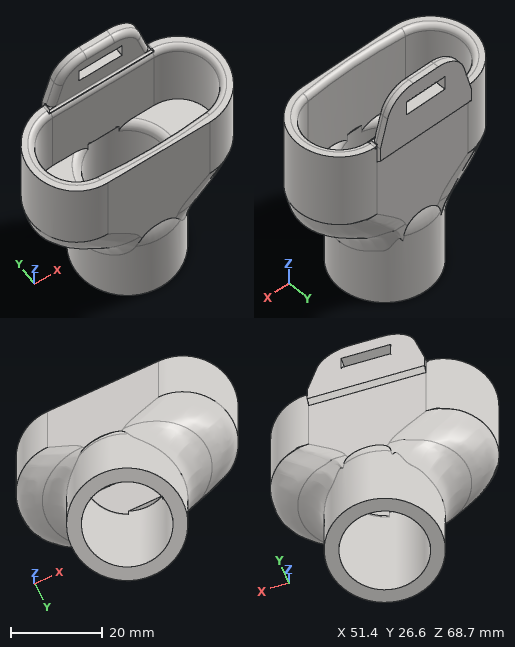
import cadquery as cq
import math

total_height = 68.65
rim_z = 54.8

cup_length = 51.4
cup_half_length = cup_length / 2
cup_end_radius = 12.15
cup_straight = cup_half_length - cup_end_radius
wall = 3.0
rim_fillet = 1.5
floor_z = 33.3
front_wall_bow = 0.7

tube_diameter = 26.6
tube_radius = tube_diameter / 2
bore_radius = 10.0
bore_flare = 2.05
tube_top_z = 25.0
shoulder_drop = 4.5

blend_radius = 10.0
waist_straight = 5.1
tube_end_straight = 1.7
sections_per_arc = 4
end_curve_steps = 12

tab_half_width = 13.5
tab_thickness = 3.0
tab_edge_fillet = 1.5
tab_corner_radius = 7.95
tab_slope = math.radians(15)
tab_foot_z = 50.95
tab_cove_radius = 0.5
tab_root_depth = 0.55
slot_width = 11.4
slot_height = 4.0
slot_center_z = 62.1


def half_blend_section(half_length, straight, z):
    """Wire at height z around the +X half: straight sides and a half-elliptical end of full cup depth."""
    reach = half_length - straight
    angles = [math.pi * (i / end_curve_steps - 0.5) for i in range(end_curve_steps + 1)]
    end_points = [
        cq.Vector(straight + reach * math.cos(a), cup_end_radius * math.sin(a), z) for a in angles
    ]
    along_side = cq.Vector(1, 0, 0)
    front_middle = cq.Vector(0, -cup_end_radius, z)
    back_middle = cq.Vector(0, cup_end_radius, z)
    edges = [
        cq.Edge.makeLine(front_middle, end_points[0]),
        cq.Edge.makeSpline(end_points, tangents=[along_side, -along_side]),
        cq.Edge.makeLine(end_points[-1], back_middle),
        cq.Edge.makeLine(back_middle, front_middle),
    ]
    return cq.Wire.assembleEdges(edges)


def make_blend():
    """Two tangent arcs of equal radius shorten the cup outline down to the tube diameter."""
    upper_center_x = cup_half_length - blend_radius
    lower_center_x = tube_radius + blend_radius
    sweep = math.acos((lower_center_x - upper_center_x) / (2 * blend_radius))
    lower_center_z = floor_z - 2 * blend_radius * math.sin(sweep)
    upper = []
    lower = []
    for i in range(sections_per_arc):
        share = i / (sections_per_arc - 1)
        across = blend_radius * math.cos(sweep * share)
        along = blend_radius * math.sin(sweep * share)
        upper_straight = cup_straight - (cup_straight - waist_straight) * math.sin(math.pi / 2 * share)
        lower_straight = tube_end_straight + (waist_straight - tube_end_straight) * share
        upper.append(half_blend_section(upper_center_x + across, upper_straight, floor_z - along))
        lower.append(half_blend_section(lower_center_x - across, lower_straight, lower_center_z + along))
    upper_solid = cq.Workplane(obj=cq.Solid.makeLoft(upper))
    lower_solid = cq.Workplane(obj=cq.Solid.makeLoft(lower))
    half = upper_solid.union(lower_solid)
    return half.union(half.mirror("YZ"))


def make_tube():
    """Solid tube whose top rounds in until it meets the flat sides of the cup."""
    inset = tube_radius - cup_end_radius
    shoulder_radius = (inset**2 + shoulder_drop**2) / (2 * inset)
    half_angle = math.asin(shoulder_drop / shoulder_radius) / 2
    shoulder_z = tube_top_z - shoulder_drop
    arc_center_x = tube_radius - shoulder_radius
    arc_middle = (
        arc_center_x + shoulder_radius * math.cos(half_angle),
        shoulder_z + shoulder_radius * math.sin(half_angle),
    )
    return (
        cq.Workplane("XZ")
        .lineTo(tube_radius, 0)
        .lineTo(tube_radius, shoulder_z)
        .threePointArc(arc_middle, (cup_end_radius, tube_top_z))
        .lineTo(0, tube_top_z)
        .close()
        .revolve(360, (0, 0), (0, 1))
    )


def make_cavity():
    """Oblong pocket with a flat floor; its -Y wall is an arc bowed outward, tangent to both ends."""
    end_radius = cup_end_radius - wall
    half_length = cup_half_length - wall
    bow_center_y = (cup_straight**2 - front_wall_bow**2) / (2 * front_wall_bow)
    bow_radius = bow_center_y + end_radius + front_wall_bow
    stretch = bow_radius / (bow_radius - end_radius)
    tangent_x = cup_straight * stretch
    tangent_y = bow_center_y * (1 - stretch)
    return (
        cq.Workplane("XY", origin=(0, 0, floor_z))
        .moveTo(-tangent_x, tangent_y)
        .threePointArc((0, -end_radius - front_wall_bow), (tangent_x, tangent_y))
        .threePointArc((half_length, 0), (cup_straight, end_radius))
        .lineTo(-cup_straight, end_radius)
        .threePointArc((-half_length, 0), (-tangent_x, tangent_y))
        .close()
        .extrude(rim_z - floor_z)
    )


def make_bore(cavity):
    """Through bore with a rounded entry at the floor that stays inside the cavity outline."""
    bore = cq.Workplane("XY").circle(bore_radius).extrude(floor_z)
    mouth_radius = bore_radius + bore_flare
    arc_offset = bore_flare * math.sqrt(0.5)
    flare_start_z = floor_z - bore_flare
    arc_middle = (mouth_radius - arc_offset, flare_start_z + arc_offset)
    flare = (
        cq.Workplane("XZ")
        .moveTo(0, flare_start_z)
        .lineTo(bore_radius, flare_start_z)
        .threePointArc(arc_middle, (mouth_radius, floor_z))
        .lineTo(0, floor_z)
        .close()
        .revolve(360, (0, 0), (0, 1))
    )
    return bore.union(flare.intersect(cavity.translate((0, 0, -bore_flare))))


def make_tab():
    """Rounded trapezoid plate flush with the tube's +Y side, chamfered into the cup below."""
    back_y = tube_radius
    overhang = back_y - cup_end_radius
    top_half_width = tab_half_width - (total_height - rim_z) * math.tan(tab_slope)
    plate = (
        cq.Workplane("XZ", origin=(0, back_y, 0))
        .moveTo(-tab_half_width, rim_z)
        .lineTo(tab_half_width, rim_z)
        .lineTo(top_half_width, total_height)
        .lineTo(-top_half_width, total_height)
        .close()
        .extrude(tab_thickness)
    )
    plate = plate.edges("|Y and >Z").fillet(tab_corner_radius)
    plate = plate.faces("<Y").edges("not <Z").fillet(tab_edge_fillet)
    slot = cq.Workplane("XY").box(slot_width, 3 * tab_thickness, slot_height)
    plate = plate.cut(slot.translate((0, back_y, slot_center_z)))
    front_y = back_y - tab_thickness
    foot = (
        cq.Workplane("YZ")
        .moveTo(back_y, rim_z)
        .lineTo(back_y, tab_foot_z)
        .lineTo(cup_end_radius, tab_foot_z - overhang)
        .lineTo(front_y, tab_foot_z - overhang)
        .lineTo(front_y, rim_z)
        .close()
        .extrude(tab_half_width, both=True)
    )
    return plate.union(foot)


def cove_profile(plane, near, far, cove_at_far):
    """Strip on the rim with a concave quarter round at the near end and, if asked, at the far end."""
    radius = tab_cove_radius
    inset = radius * (1 - math.sqrt(0.5))
    root_z = rim_z - tab_root_depth
    top_z = rim_z + radius
    profile = cq.Workplane(plane).moveTo(near, root_z).lineTo(far, root_z)
    if cove_at_far:
        far_middle = (far - radius + inset, rim_z + inset)
        profile = profile.lineTo(far, rim_z).threePointArc(far_middle, (far - radius, top_z))
    else:
        profile = profile.lineTo(far, top_z)
    near_middle = (near + radius - inset, rim_z + inset)
    return profile.lineTo(near + radius, top_z).threePointArc(near_middle, (near, rim_z)).close()


def make_tab_cove():
    """Small concave round where the front and side faces of the tab rise from the rim."""
    front_y = tube_radius - tab_thickness - tab_cove_radius
    half_width = tab_half_width + tab_cove_radius
    front_cove = cove_profile("YZ", front_y, cup_end_radius, cove_at_far=False)
    side_coves = cove_profile("XZ", -half_width, half_width, cove_at_far=True)
    along_width = front_cove.extrude(half_width, both=True)
    along_depth = side_coves.extrude(tube_radius, both=True)
    return along_width.intersect(along_depth)


cavity = make_cavity()
cup = (
    cq.Workplane("XY", origin=(0, 0, floor_z))
    .slot2D(cup_length, 2 * cup_end_radius)
    .extrude(rim_z - floor_z)
)
body = cup.union(make_blend()).union(make_tube()).cut(cavity)
body = body.faces(">Z").wires(cq.selectors.LengthNthSelector(0)).fillet(rim_fillet)
result = body.cut(make_bore(cavity)).union(make_tab()).union(make_tab_cove())